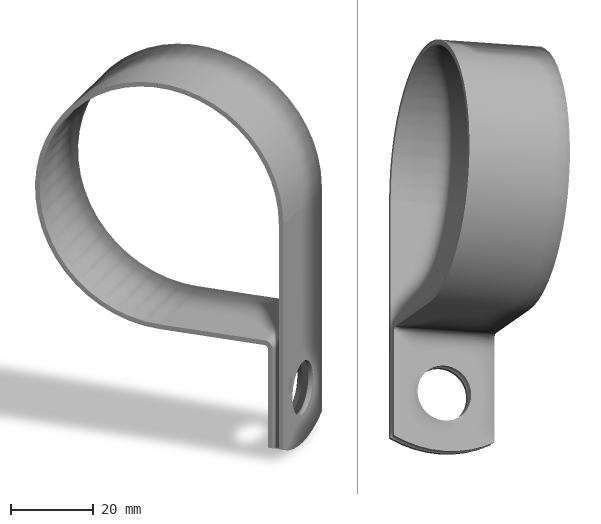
import cadquery as cq
import math

DIAGONAL = math.sqrt(0.5)

total_height = 94.1
outer_radius = 32.2
thickness = 1.2
width = 25.4
leg_gap = 1.6
bend_radius = 2.1
hole_diameter = 13.5
hole_height = 14.3
tip_radius = 28.2

inner_radius = outer_radius - thickness
bottom = outer_radius - total_height
short_leg_outer = inner_radius - leg_gap
short_leg_inner = short_leg_outer - thickness
bend_inner_radius = bend_radius - thickness
bend_x = short_leg_outer - bend_radius
bend_z = -inner_radius - bend_radius


def make_strip():
    """Constant-thickness band: long leg, three-quarter loop, shelf, bend and short leg."""
    return (
        cq.Workplane("XZ")
        .moveTo(outer_radius, bottom)
        .lineTo(outer_radius, 0)
        .threePointArc((-outer_radius * DIAGONAL, outer_radius * DIAGONAL), (0, -outer_radius))
        .lineTo(bend_x, -outer_radius)
        .radiusArc((short_leg_inner, bend_z), bend_inner_radius)
        .lineTo(short_leg_inner, bottom)
        .lineTo(short_leg_outer, bottom)
        .lineTo(short_leg_outer, bend_z)
        .radiusArc((bend_x, -inner_radius), -bend_radius)
        .lineTo(0, -inner_radius)
        .threePointArc((-inner_radius * DIAGONAL, inner_radius * DIAGONAL), (inner_radius, 0))
        .lineTo(inner_radius, bottom)
        .close()
        .extrude(width / 2, both=True)
    )


def make_tip_envelope():
    """Side outline with a rounded lower end, reaching past the part along X and upward."""
    half_width = width / 2
    tip_rise = tip_radius - math.sqrt(tip_radius**2 - half_width**2)
    return (
        cq.Workplane("YZ")
        .moveTo(-half_width, total_height)
        .lineTo(-half_width, bottom + tip_rise)
        .threePointArc((0, bottom), (half_width, bottom + tip_rise))
        .lineTo(half_width, total_height)
        .close()
        .extrude(total_height, both=True)
    )


def make_hole():
    """Bolt hole cutter passing through both legs."""
    return (
        cq.Workplane("YZ")
        .center(0, bottom + hole_height)
        .circle(hole_diameter / 2)
        .extrude(total_height)
    )


result = make_strip().intersect(make_tip_envelope()).cut(make_hole())